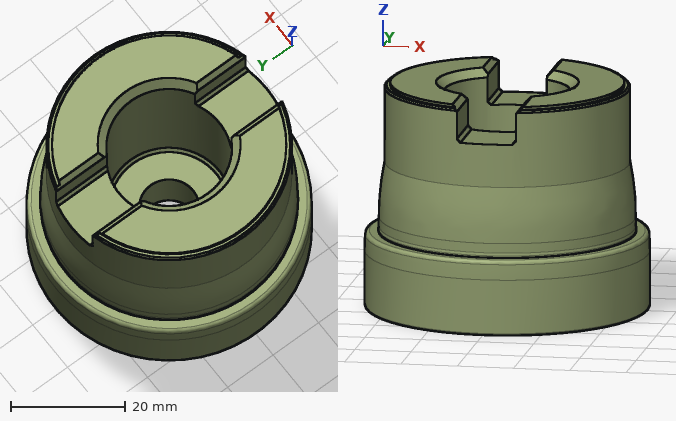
import cadquery as cq

height = 40.0
rim_diameter = 50.0

rim_height = 13.45
rim_crown_start = 10.0
rim_crown_inset = 0.15
rim_top_fillet = 0.75
rim_bottom_fillet = 0.4

foot_diameter = 45.0
foot_top = 16.0
lip_diameter = 45.2
lip_top = 13.8
lip_taper_top = 14.3
neck_diameter = 43.0
neck_bottom = 25.85
flare_height = neck_bottom - foot_top
flare_inset = (foot_diameter - neck_diameter) / 2
face_diameter = 41.0
face_step = 0.5
neck_chamfer = 0.35

bore_diameter = 22.0
bore_floor = 10.0
bore_mouth_diameter = 25.0
bore_mouth_depth = (bore_mouth_diameter - bore_diameter) / 2
bore_floor_chamfer = 0.6
through_diameter = 10.5

slot_width = 10.5
slot_depth = 6.5
slot_mouth_chamfer = 1.0
slot_floor_chamfer = 0.65


def cylinder(diameter, bottom, top):
    """Upright cylinder on the Z axis."""
    return cq.Workplane("XY").workplane(offset=bottom).circle(diameter / 2).extrude(top - bottom)


def revolve_about_z(profile):
    """Full turn about Z of a closed outline drawn as radius against height."""
    return profile.close().revolve(360, (0, 0, 0), (0, 1, 0))


def hub_blank():
    """Solid hub: straight foot with a small lip, flared shoulder, neck and raised face."""
    foot = foot_diameter / 2
    lip = lip_diameter / 2
    neck = neck_diameter / 2
    face = face_diameter / 2
    step_top = height - face_step
    flare_radius = (flare_height**2 + flare_inset**2) / (2 * flare_inset)
    mid_height = flare_height / 2
    mid_inset = flare_radius - (flare_radius**2 - mid_height**2) ** 0.5
    return revolve_about_z(
        cq.Workplane("XZ")
        .lineTo(foot, 0)
        .lineTo(foot, rim_height)
        .lineTo(lip, rim_height)
        .lineTo(lip, lip_top)
        .lineTo(foot, lip_taper_top)
        .lineTo(foot, foot_top)
        .threePointArc((foot - mid_inset, foot_top + mid_height), (neck, neck_bottom))
        .lineTo(neck, step_top - neck_chamfer)
        .lineTo(neck - neck_chamfer, step_top)
        .lineTo(face, step_top)
        .lineTo(face, height)
        .lineTo(0, height)
    )


def bore_cutter():
    """Flared blind bore with a chamfered floor, and a through hole below it."""
    bore = bore_diameter / 2
    through = through_diameter / 2
    return revolve_about_z(
        cq.Workplane("XZ")
        .lineTo(through, 0)
        .lineTo(through, bore_floor)
        .lineTo(bore - bore_floor_chamfer, bore_floor)
        .lineTo(bore, bore_floor + bore_floor_chamfer)
        .lineTo(bore, height - bore_mouth_depth)
        .lineTo(bore_mouth_diameter / 2, height)
        .lineTo(0, height)
    )


def slot_cutter():
    """Slot across the whole top, chamfered at its mouth and along its floor."""
    half = slot_width / 2
    floor = height - slot_depth
    right_side = [
        (half - slot_floor_chamfer, floor),
        (half, floor + slot_floor_chamfer),
        (half, height - slot_mouth_chamfer),
        (half + slot_mouth_chamfer, height),
    ]
    left_side = [(-x, z) for x, z in reversed(right_side)]
    return cq.Workplane("XZ").polyline(right_side + left_side).close().extrude(rim_diameter / 2, both=True)


def make_hub():
    return hub_blank().cut(bore_cutter()).cut(slot_cutter())


def make_rim():
    """Ring fitted around the hub's foot, its wall leaning in slightly above and its outer edges rounded."""
    outer = rim_diameter / 2
    blank = revolve_about_z(
        cq.Workplane("XZ")
        .lineTo(outer, 0)
        .lineTo(outer, rim_crown_start)
        .tangentArcPoint((outer - rim_crown_inset, rim_height), relative=False)
        .lineTo(0, rim_height)
    )
    blank = blank.faces(">Z").edges().fillet(rim_top_fillet)
    blank = blank.faces("<Z").edges().fillet(rim_bottom_fillet)
    return blank.cut(cylinder(foot_diameter, 0, rim_height))


hub = make_hub()
rim = make_rim()
result = cq.Compound.makeCompound([hub.val(), rim.val()])